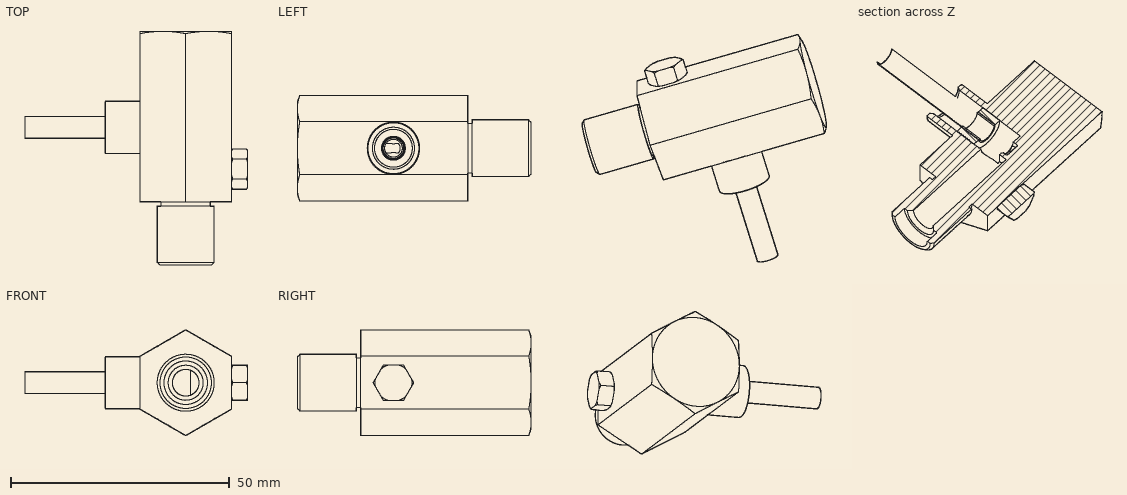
import cadquery as cq
import math

OVERALL_LENGTH = 53.5
HEX_SIDES = 6
HALF_SECTOR = 180 / HEX_SIDES
ACROSS_CORNERS = 24.25
ACROSS_FLATS = ACROSS_CORNERS * math.cos(math.radians(HALF_SECTOR))
HALF_FLATS = ACROSS_FLATS / 2
HOUSING_LENGTH = 39.0
BACK_CHAMFER_DEPTH = 0.55

PORT_LENGTH = OVERALL_LENGTH - HOUSING_LENGTH
PORT_RADIUS = 6.55
PORT_CHAMFER = 0.65
NECK_RADIUS = 5.65
NECK_LENGTH = 1.0
MOUTH_RADIUS = 5.0
MOUTH_DEPTH = 3.2
PORT_CONE_RADIUS = 4.0
PORT_CONE_HALF_ANGLE = math.radians(45)
PASSAGE_RADIUS = 3.05

COLLAR_Y = 17.0
COLLAR_RADIUS = 6.0
COLLAR_LENGTH = 7.95
COLLAR_CHAMFER = 0.15
COLLAR_BORE_RADIUS = 4.35
COLLAR_BORE_END_X = 1.05
BEVEL_RADIUS = 4.8
BEVEL_DEPTH = 0.8
COLLAR_END_X = -HALF_FLATS - COLLAR_LENGTH

SEAT_RADIUS = 2.05
SEAT_HALF_ANGLE = math.radians(59)
GROOVE_RADIUS = 1.05
GROOVE_X = 1.35
GROOVE_END_RADIUS = 1.55

PASSAGE_SETBACK = 2.7
PASSAGE_END_Y = COLLAR_Y - PASSAGE_SETBACK

BUSHING_LENGTH = 5.35
BUSHING_HOLE_RADIUS = 2.75
BUSHING_START_X = -HALF_FLATS

TUBE_TIP_X = -36.8
TUBE_RADIUS = 2.5
TUBE_INNER_RADIUS = 2.35
TUBE_END_X = BUSHING_START_X + BUSHING_LENGTH

PLUG_Y = 7.5
PLUG_FLATS = 8.0
PLUG_CORNER_RADIUS = PLUG_FLATS / 2 / math.cos(math.radians(HALF_SECTOR))
PLUG_END_X = 14.2
PLUG_CHAMFER_DEPTH = 0.25
PLUG_FACE_RADIUS = 4.2


def rod_x(radius, start_x, end_x, y):
    """Cylinder along X between two X positions."""
    return cq.Workplane("YZ", origin=(start_x, y, 0)).circle(radius).extrude(end_x - start_x)


def rod_y(radius, start_y, end_y, x=0):
    """Cylinder along Y between two Y positions."""
    return cq.Workplane("XZ", origin=(x, start_y, 0)).circle(radius).extrude(start_y - end_y)


def turned_y(profile):
    """Solid of revolution about the Y axis from (radius, y) points."""
    return cq.Workplane("XY").polyline(profile).close().revolve(360, (0, 0, 0), (0, 1, 0))


def turned_x(profile, y):
    """Solid of revolution about the line along X at the given Y, from (x, radius) points."""
    return cq.Workplane("XY", origin=(0, y, 0)).polyline(profile).close().revolve(360, (0, 0, 0), (1, 0, 0))


def hexagon_bar():
    """Hexagonal bar with two flats facing -X and +X, its back corners chamfered by a cone."""
    bar = (
        cq.Workplane("XZ")
        .polygon(HEX_SIDES, ACROSS_CORNERS)
        .extrude(-HOUSING_LENGTH)
        .rotate((0, 0, 0), (0, 1, 0), HALF_SECTOR)
    )
    corner_radius = ACROSS_CORNERS / 2
    envelope = turned_y([
        (0, 0),
        (corner_radius, 0),
        (corner_radius, HOUSING_LENGTH - BACK_CHAMFER_DEPTH),
        (HALF_FLATS, HOUSING_LENGTH),
        (0, HOUSING_LENGTH),
    ])
    return bar.intersect(envelope)


def threaded_port():
    neck = rod_y(NECK_RADIUS, -NECK_LENGTH, 0)
    barrel = rod_y(PORT_RADIUS, -PORT_LENGTH, -NECK_LENGTH).faces("<Y").chamfer(PORT_CHAMFER)
    return neck.union(barrel)


def front_cavity():
    """Port mouth stepping in to a cone that leads to the passage."""
    cone_depth = (PORT_CONE_RADIUS - PASSAGE_RADIUS) / math.tan(PORT_CONE_HALF_ANGLE)
    mouth_y = -PORT_LENGTH
    step_y = mouth_y + MOUTH_DEPTH
    return turned_y([
        (0, mouth_y),
        (MOUTH_RADIUS, mouth_y),
        (MOUTH_RADIUS, step_y),
        (PORT_CONE_RADIUS, step_y),
        (PASSAGE_RADIUS, step_y + cone_depth),
        (PASSAGE_RADIUS, PASSAGE_END_Y),
        (0, PASSAGE_END_Y),
    ])


def side_cavity():
    """Bevelled collar bore with a conical seat at its inner end."""
    seat_depth = SEAT_RADIUS / math.tan(SEAT_HALF_ANGLE)
    return turned_x([
        (COLLAR_END_X, 0),
        (COLLAR_END_X, BEVEL_RADIUS),
        (COLLAR_END_X + BEVEL_DEPTH, COLLAR_BORE_RADIUS),
        (COLLAR_BORE_END_X, COLLAR_BORE_RADIUS),
        (COLLAR_BORE_END_X, SEAT_RADIUS),
        (COLLAR_BORE_END_X + seat_depth, 0),
    ], COLLAR_Y)


def seat_groove():
    """Groove across the seat, ending in a smaller arc on the port side."""
    groove = rod_y(GROOVE_RADIUS, COLLAR_Y - SEAT_RADIUS, COLLAR_Y + SEAT_RADIUS, GROOVE_X)
    bottom_x = GROOVE_X + GROOVE_RADIUS
    port_side = rod_x(GROOVE_END_RADIUS, COLLAR_BORE_END_X, bottom_x, COLLAR_Y)
    back_half = cq.Workplane("XY", origin=(0, COLLAR_Y, 0)).box(
        bottom_x, SEAT_RADIUS, 2 * SEAT_RADIUS, centered=(False, False, True)
    )
    back_side = rod_x(SEAT_RADIUS, COLLAR_BORE_END_X, bottom_x, COLLAR_Y).intersect(back_half)
    return groove.intersect(port_side.union(back_side))


def make_housing():
    collar = rod_x(COLLAR_RADIUS, COLLAR_END_X, 0, COLLAR_Y).faces("<X").chamfer(COLLAR_CHAMFER)
    outside = hexagon_bar().union(threaded_port()).union(collar)
    return outside.cut(front_cavity()).cut(side_cavity()).cut(seat_groove())


def make_bushing():
    ring = rod_x(COLLAR_BORE_RADIUS, BUSHING_START_X, TUBE_END_X, COLLAR_Y)
    return ring.cut(rod_x(BUSHING_HOLE_RADIUS, BUSHING_START_X, TUBE_END_X, COLLAR_Y))


def make_tube():
    shaft = rod_x(TUBE_RADIUS, TUBE_TIP_X, TUBE_END_X, COLLAR_Y)
    root = rod_x(BUSHING_HOLE_RADIUS, BUSHING_START_X, TUBE_END_X, COLLAR_Y)
    return shaft.union(root).cut(rod_x(TUBE_INNER_RADIUS, TUBE_TIP_X, TUBE_END_X, COLLAR_Y))


def make_plug():
    """Hexagonal head with corners along Y, chamfered at both ends."""
    head = (
        cq.Workplane("YZ", origin=(HALF_FLATS, PLUG_Y, 0))
        .polygon(HEX_SIDES, 2 * PLUG_CORNER_RADIUS)
        .extrude(PLUG_END_X - HALF_FLATS)
    )
    envelope = turned_x([
        (HALF_FLATS, 0),
        (HALF_FLATS, PLUG_FACE_RADIUS),
        (HALF_FLATS + PLUG_CHAMFER_DEPTH, PLUG_CORNER_RADIUS),
        (PLUG_END_X - PLUG_CHAMFER_DEPTH, PLUG_CORNER_RADIUS),
        (PLUG_END_X, PLUG_FACE_RADIUS),
        (PLUG_END_X, 0),
    ], PLUG_Y)
    return head.intersect(envelope)


housing = make_housing()
bushing = make_bushing()
tube = make_tube()
plug = make_plug()

result = cq.Compound.makeCompound([housing.val(), bushing.val(), tube.val(), plug.val()])